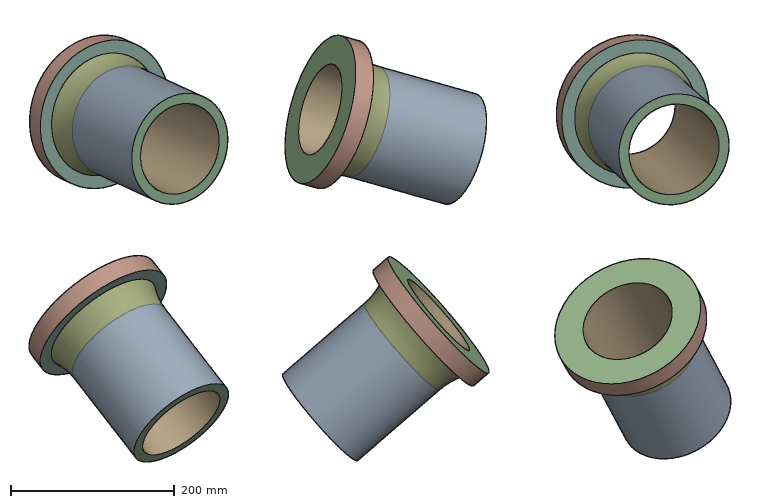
import cadquery as cq

length = 193.0
flange_diameter = 188.0
flange_thickness = 24.5
tube_diameter = 140.5
bore_diameter = 114.8
neck_root_diameter = 155.2
neck_length = 35.0

flange_radius = flange_diameter / 2
tube_radius = tube_diameter / 2
bore_radius = bore_diameter / 2
neck_root_radius = neck_root_diameter / 2
neck_end = flange_thickness + neck_length

neck_rise = neck_root_radius - tube_radius
neck_arc_radius = (neck_length**2 + neck_rise**2) / (2 * neck_rise)
neck_mid_x = neck_end - neck_length / 2
neck_mid_radius = tube_radius + neck_arc_radius - (neck_arc_radius**2 - (neck_length / 2) ** 2) ** 0.5

half_section = (
    cq.Workplane("XY")
    .moveTo(0, bore_radius)
    .lineTo(0, flange_radius)
    .lineTo(flange_thickness, flange_radius)
    .lineTo(flange_thickness, neck_root_radius)
    .threePointArc((neck_mid_x, neck_mid_radius), (neck_end, tube_radius))
    .lineTo(length, tube_radius)
    .lineTo(length, bore_radius)
    .close()
)

result = half_section.revolve(360, (0, 0, 0), (1, 0, 0))